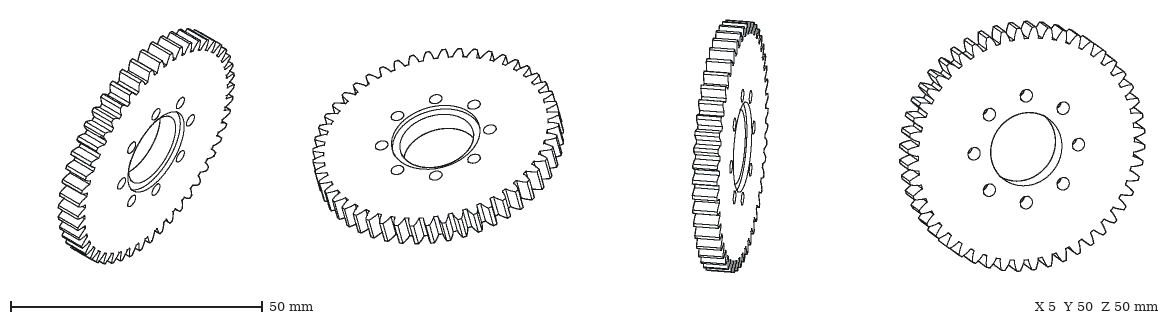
import cadquery as cq
import math

gear_height = 49.95
thickness = 5.0
tooth_count = 48
pressure_angle = math.radians(20)
addendum_modules = 1.0
dedendum_modules = 1.25
flank_points = 6

bore_diameter = 15.0
counterbore_diameter = 17.95
counterbore_depth = 1.0

bolt_circle_radius = 11.0
bolt_hole_diameter = 2.55
bolt_hole_count = 8


def involute(angle):
    return math.tan(angle) - angle


def tooth_half_angle(radius_ratio):
    """Half the angle an involute tooth spans at a radius given relative to the pitch radius."""
    local_pressure_angle = math.acos(math.cos(pressure_angle) / radius_ratio)
    half_angle_at_pitch = math.pi / (2 * tooth_count)
    return half_angle_at_pitch + involute(pressure_angle) - involute(local_pressure_angle)


tooth_pitch = 2 * math.pi / tooth_count
tip_ratio = 1 + 2 * addendum_modules / tooth_count
root_ratio = 1 - 2 * dedendum_modules / tooth_count
tip_corner_angle = tooth_pitch / 2 - tooth_half_angle(tip_ratio)
tip_radius = gear_height / 2 / math.cos(tip_corner_angle)
pitch_radius = tip_radius / tip_ratio
root_radius = pitch_radius * root_ratio


def polar(radius, angle):
    return (radius * math.cos(angle), radius * math.sin(angle))


def flank(tooth_angle, side):
    """Points from root to tip on one flank; side is -1 or +1."""
    points = []
    for i in range(flank_points):
        ratio = root_ratio + (tip_ratio - root_ratio) * i / (flank_points - 1)
        angle = tooth_angle + side * tooth_half_angle(ratio)
        points.append(polar(pitch_radius * ratio, angle))
    return points


def gear_blank():
    first_gap_end = flank(tooth_pitch / 2, -1)[0]
    outline = cq.Workplane("YZ").moveTo(*first_gap_end)
    for tooth in range(tooth_count):
        tooth_angle = (tooth + 0.5) * tooth_pitch
        next_gap_angle = tooth_angle + tooth_pitch / 2
        rising = flank(tooth_angle, -1)
        falling = flank(tooth_angle, 1)[::-1]
        gap_end = flank(tooth_angle + tooth_pitch, -1)[0]
        if tooth == tooth_count - 1:
            gap_end = first_gap_end
        outline = outline.spline(rising[1:], includeCurrent=True)
        outline = outline.threePointArc(polar(tip_radius, tooth_angle), falling[0])
        outline = outline.spline(falling[1:], includeCurrent=True)
        outline = outline.threePointArc(polar(root_radius, next_gap_angle), gap_end)
    return outline.close().extrude(thickness)


bore = cq.Workplane("YZ").circle(bore_diameter / 2).extrude(thickness)

counterbore = (
    cq.Workplane("YZ")
    .workplane(offset=thickness - counterbore_depth)
    .circle(counterbore_diameter / 2)
    .extrude(counterbore_depth)
)

bolt_holes = (
    cq.Workplane("YZ")
    .polarArray(bolt_circle_radius, 0, 360, bolt_hole_count)
    .circle(bolt_hole_diameter / 2)
    .extrude(thickness)
)

result = gear_blank().cut(bore).cut(counterbore).cut(bolt_holes)